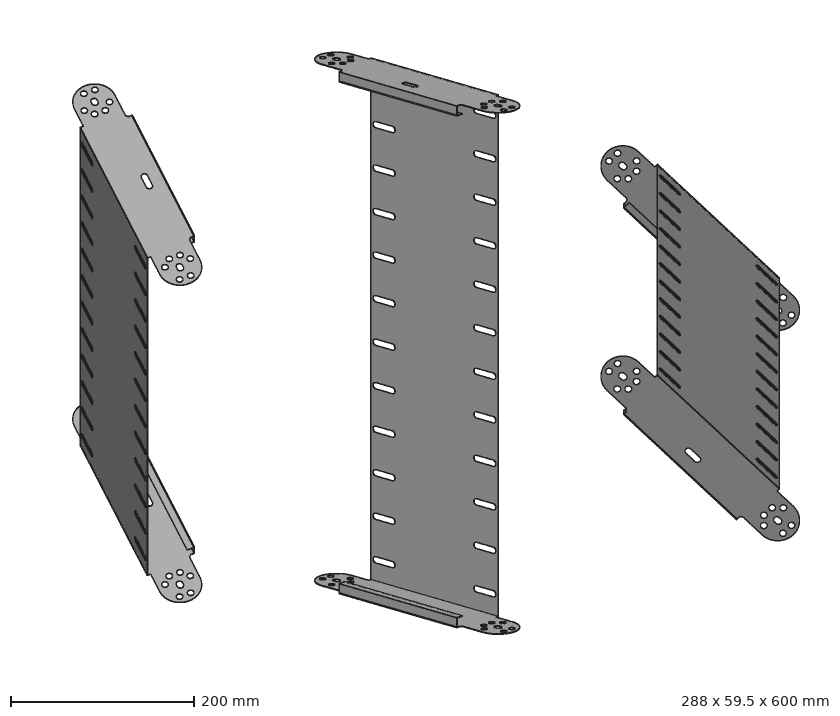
import cadquery as cq

height = 600.0
overall_length = 288.0
depth = 59.5
sheet = 1.0

panel_width = 189.5
slot_rows = 12
row_pitch = height / slot_rows
panel_slot_length = 32.5
panel_slot_width = 7.0
panel_slot_edge_gap = 3.5
panel_slot_x = panel_width / 2 - panel_slot_edge_gap - panel_slot_length / 2

arm_width = 48.0
arm_radius = arm_width / 2
arm_center_y = 28.0
rear_width = 175.0
corner_slant = 2.5

hook_height = 12.0
lip_depth = 9.0

middle_slot_length = 21.0
middle_slot_width = 7.0
middle_slot_y = 39.5

pattern_x = 120.0
pattern_radius = 16.0
pattern_hole_diameter = 7.0
inner_pair_angle = 23
middle_pair_angle = 67
outer_pair_angle = 156
pattern_slot_length = 9.5
pattern_slot_width = 7.0


def block(width, y_start, y_end, z_start, z_end):
    """Box centred on x = 0 between the given y and z limits."""
    size = (width, y_end - y_start, z_end - z_start)
    return cq.Workplane("XY").box(*size, centered=(True, False, False)).translate((0, y_start, z_start))


def front_panel():
    panel = block(panel_width, 0, sheet, 0, height)
    slot_places = [
        (side * panel_slot_x, (row + 0.5) * row_pitch)
        for side in (-1, 1)
        for row in range(slot_rows)
    ]
    slots = (
        cq.Workplane("XZ")
        .pushPoints(slot_places)
        .slot2D(panel_slot_length, panel_slot_width)
        .extrude(-sheet)
    )
    return panel.cut(slots)


def end_plate_outline():
    """Blank of the end plate, with small slanted corners where the arms meet the rear edge."""
    arm_rear_y = arm_center_y + arm_radius
    half_rear = rear_width / 2
    arms = (
        cq.Workplane("XY")
        .center(0, arm_center_y)
        .slot2D(overall_length, arm_width)
        .extrude(sheet)
    )
    front = block(panel_width, 0, arm_center_y, 0, sheet)
    rear = (
        cq.Workplane("XY")
        .moveTo(-half_rear - corner_slant, arm_rear_y)
        .lineTo(-half_rear, arm_rear_y + corner_slant)
        .lineTo(-half_rear, depth)
        .lineTo(half_rear, depth)
        .lineTo(half_rear, arm_rear_y + corner_slant)
        .lineTo(half_rear + corner_slant, arm_rear_y)
        .lineTo(half_rear, arm_center_y)
        .lineTo(-half_rear, arm_center_y)
        .close()
        .extrude(sheet)
    )
    return arms.union(front).union(rear)


def arm_holes(side):
    """Cutters for the hole pattern of one arm; side is -1 or 1."""
    pair_angles = (inner_pair_angle, middle_pair_angle, outer_pair_angle)
    hole = (
        cq.Workplane("XY")
        .center(pattern_radius, 0)
        .circle(pattern_hole_diameter / 2)
        .extrude(sheet)
    )
    holes = cq.Workplane("XY").slot2D(pattern_slot_length, pattern_slot_width).extrude(sheet)
    for angle in pair_angles:
        holes = holes.union(hole.rotate((0, 0, 0), (0, 0, 1), angle))
        holes = holes.union(hole.rotate((0, 0, 0), (0, 0, 1), -angle))
    if side > 0:
        holes = holes.mirror("YZ")
    return holes.translate((side * pattern_x, arm_center_y, 0))


def lower_end():
    middle_slot = (
        cq.Workplane("XY")
        .center(0, middle_slot_y)
        .slot2D(middle_slot_length, middle_slot_width)
        .extrude(sheet)
    )
    plate = end_plate_outline().cut(middle_slot)
    for side in (-1, 1):
        plate = plate.cut(arm_holes(side))
    rear_wall = block(rear_width, depth - sheet, depth, 0, hook_height)
    lip = block(rear_width, depth - lip_depth, depth, hook_height - sheet, hook_height)
    return plate.union(rear_wall).union(lip)


bottom = lower_end()
top = bottom.mirror("XY").translate((0, 0, height))
result = front_panel().union(bottom).union(top)